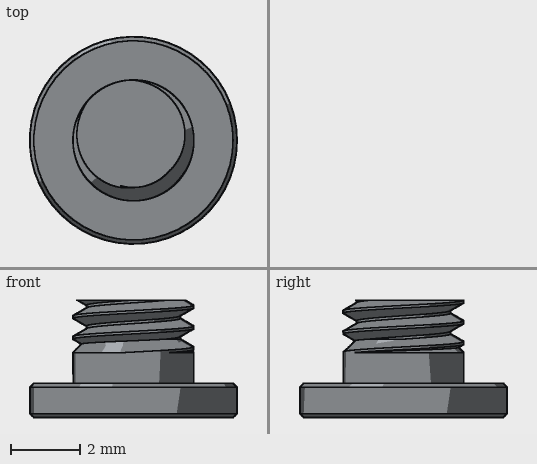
import cadquery as cq
import math

head_diameter = 6.0
head_height = 1.0
head_chamfer = 0.12

total_height = 3.4
stud_diameter = 3.5
root_diameter = 2.725
shoulder_top = 1.885

pitch = 0.6
crest_width = 0.075
flank_angle = 30.0
crest_height_at_x = 2.01
overcut = 0.03

stud_radius = stud_diameter / 2
root_radius = root_diameter / 2
cutter_radius = stud_radius + overcut
flank_slope = math.tan(math.radians(flank_angle))
root_half_width = (pitch - crest_width) / 2 - (stud_radius - root_radius) * flank_slope
cutter_half_width = root_half_width + (cutter_radius - root_radius) * flank_slope


def make_head():
    head = cq.Workplane("XY").circle(head_diameter / 2).extrude(head_height)
    return head.edges().chamfer(head_chamfer)


def make_groove():
    """Helical groove cutter, starting below the shoulder top and ending above the stud."""
    start = crest_height_at_x - 1.5 * pitch
    turns = math.ceil((total_height + pitch - start) / pitch)
    helix = cq.Wire.makeHelix(pitch, turns * pitch, root_radius, center=cq.Vector(0, 0, start))
    profile = cq.Workplane("XZ").polyline([
        (root_radius, start - root_half_width),
        (cutter_radius, start - cutter_half_width),
        (cutter_radius, start + cutter_half_width),
        (root_radius, start + root_half_width),
    ]).close()
    return profile.sweep(cq.Workplane(obj=helix), isFrenet=True)


def make_runout():
    """Region the groove leaves uncut: the shoulder and the 45 degree cone above it."""
    outer_radius = cutter_radius + overcut
    cone_apex = shoulder_top + stud_radius
    return (
        cq.Workplane("XZ")
        .polyline([
            (0, 0),
            (outer_radius, 0),
            (outer_radius, cone_apex - outer_radius),
            (0, cone_apex),
        ])
        .close()
        .revolve(360, (0, 0, 0), (0, 1, 0))
    )


def make_stud():
    """Thread a blank longer than the groove, then trim it flat at the final height."""
    blank_height = total_height + 3 * pitch
    blank = cq.Workplane("XY").circle(stud_radius).extrude(blank_height)
    threaded = blank.cut(make_groove().cut(make_runout()))
    trim = cq.Workplane("XY").rect(head_diameter, head_diameter).extrude(total_height)
    return threaded.intersect(trim)


result = make_head().union(make_stud())